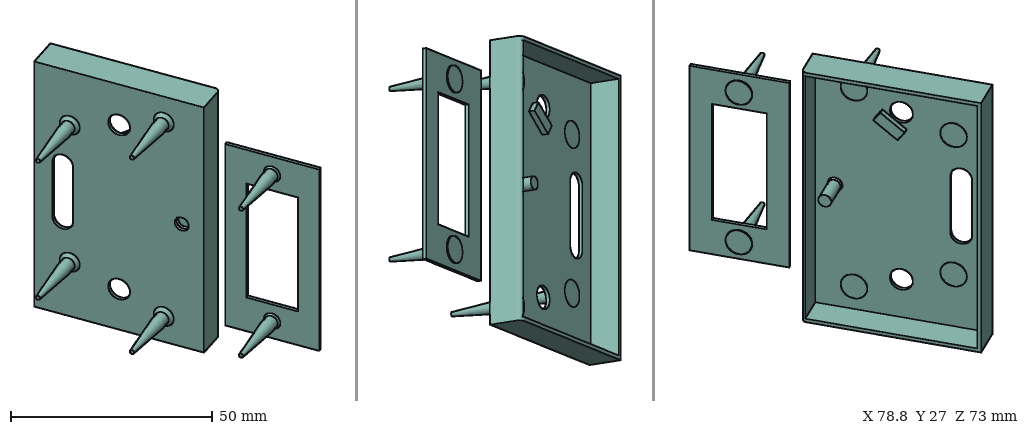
import cadquery as cq
import math

SHEET = 1.0

CASE_WIDTH = 47.0
CASE_HEIGHT = 73.0
CASE_DEPTH = 9.15
CASE_EDGE_RADIUS = 1.5
SCREW_HOLE_DIAMETER = 6.0
SCREW_HOLE_SPACING = 48.9
SLOT_X = 7.9
SLOT_WIDTH = 5.7
SLOT_LENGTH = 22.0
PIVOT_X = 40.8
PIVOT_HOLE_DIAMETER = 3.9

PLATE_WIDTH = 26
PLATE_HEIGHT = 54.0
PLATE_X = 78.85 - PLATE_WIDTH / 2
PLATE_Z = 0.3
WINDOW_WIDTH = 14.3
WINDOW_HEIGHT = 33.9

HEAD_RADIUS = 3.5
SHANK_RADIUS = 1.8
TIP_RADIUS = 0.59
HEAD_RIM = 0.3
HEAD_LENGTH = HEAD_RIM + HEAD_RADIUS - SHANK_RADIUS
SHANK_END = 4.6
NAIL_LENGTH = 18.9
CASE_NAIL_TOP_Y = SHEET
PLATE_NAIL_TOP_Y = 1.5
INNER_NAIL_X = 9.85
INNER_NAIL_SPACING = 40.75
OUTER_NAIL_X = 35.9
OUTER_NAIL_SPACING = 57.9
PLATE_NAIL_SPACING = 43.75

PIVOT_DIAMETER = 3.4
PIVOT_FRONT_Y = 1.6
LEVER_ANGLE = 36
LEVER_LENGTH = 7.9
LEVER_WIDTH = 3.15
LEVER_THICKNESS = 1.65


def box(width, depth, height, x, y, z):
    """Box centred on X and Z whose front face is at y."""
    return cq.Workplane("XY").box(width, depth, height, centered=(True, False, True)).translate((x, y, z))


def rod(diameter, length, x, y, z):
    """Cylinder that runs from y towards +Y."""
    return cq.Workplane("XZ").circle(diameter / 2).extrude(-length).translate((x, y, z))


def mirrored_pair(x, spacing, y, middle_z=0):
    """Two places, half the spacing above and below middle_z."""
    return [(x, y, middle_z + side * spacing / 2) for side in (1, -1)]


def make_nail(place):
    """Countersunk nail with the centre of its head top at the given place."""
    profile = [
        (0, 0),
        (HEAD_RADIUS, 0),
        (HEAD_RADIUS, -HEAD_RIM),
        (SHANK_RADIUS, -HEAD_LENGTH),
        (SHANK_RADIUS, -SHANK_END),
        (TIP_RADIUS, -NAIL_LENGTH),
        (0, -NAIL_LENGTH),
    ]
    return cq.Workplane("XY").polyline(profile).close().revolve(360, (0, 0), (0, 1)).translate(place)


def make_case(nails):
    """Tray open at the back, with its holes and a countersunk seat for each nail."""
    middle_x = CASE_WIDTH / 2
    case = box(CASE_WIDTH, CASE_DEPTH, CASE_HEIGHT, middle_x, 0, 0)
    case = case.edges("|Z and >X and >Y").fillet(CASE_EDGE_RADIUS)
    case = case.cut(box(CASE_WIDTH - 2 * SHEET, CASE_DEPTH, CASE_HEIGHT - 2 * SHEET, middle_x, SHEET, 0))

    for place in mirrored_pair(middle_x, SCREW_HOLE_SPACING, 0):
        case = case.cut(rod(SCREW_HOLE_DIAMETER, SHEET, *place))
    case = case.cut(rod(PIVOT_HOLE_DIAMETER, SHEET, PIVOT_X, 0, 0))

    slot = cq.Workplane("XZ").slot2D(SLOT_LENGTH, SLOT_WIDTH, 90).extrude(-SHEET)
    case = case.cut(slot.translate((SLOT_X, 0, 0)))

    for nail in nails:
        case = case.cut(nail)
    return case


def make_plate(nails):
    """Strike plate with its window and a countersunk seat for each nail."""
    plate = box(PLATE_WIDTH, SHEET, PLATE_HEIGHT, PLATE_X, 0, PLATE_Z)
    plate = plate.cut(box(WINDOW_WIDTH, SHEET, WINDOW_HEIGHT, PLATE_X, 0, PLATE_Z))
    for nail in nails:
        plate = plate.cut(nail)
    return plate


def make_pivot():
    """Round pivot behind its hole, set back from the front and ending level with the case's back."""
    return rod(PIVOT_DIAMETER, CASE_DEPTH - PIVOT_FRONT_Y, PIVOT_X, PIVOT_FRONT_Y, 0)


def make_lever():
    """Tilted bar on the inside of the front wall, its long upper side tangent to the upper screw hole."""
    from_hole = SCREW_HOLE_DIAMETER / 2 + LEVER_WIDTH / 2
    tilt = math.radians(LEVER_ANGLE)
    x = CASE_WIDTH / 2 + from_hole * math.sin(tilt)
    z = SCREW_HOLE_SPACING / 2 - from_hole * math.cos(tilt)
    bar = box(LEVER_LENGTH, LEVER_THICKNESS, LEVER_WIDTH, 0, 0, 0)
    return bar.rotate((0, 0, 0), (0, 1, 0), -LEVER_ANGLE).translate((x, SHEET, z))


case_nail_places = [
    *mirrored_pair(INNER_NAIL_X, INNER_NAIL_SPACING, CASE_NAIL_TOP_Y),
    *mirrored_pair(OUTER_NAIL_X, OUTER_NAIL_SPACING, CASE_NAIL_TOP_Y),
]
plate_nail_places = mirrored_pair(PLATE_X, PLATE_NAIL_SPACING, PLATE_NAIL_TOP_Y, PLATE_Z)

case_nails = [make_nail(place) for place in case_nail_places]
plate_nails = [make_nail(place) for place in plate_nail_places]
case = make_case(case_nails)
plate = make_plate(plate_nails)
pivot = make_pivot()
lever = make_lever()

nail_solids = [nail.val() for nail in case_nails + plate_nails]
result = cq.Compound.makeCompound([case.val(), plate.val(), pivot.val(), lever.val(), *nail_solids])